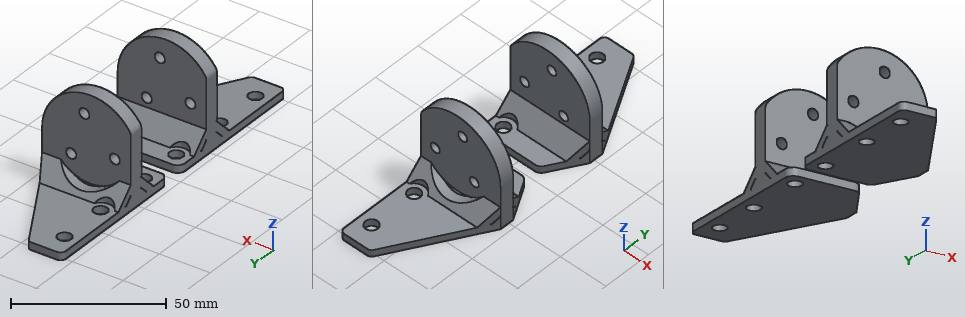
import cadquery as cq
import math

total_length = 124.0
width = 35.0
height = 38.0
bracket_length = 58.8
outer_end_y = -total_length / 2
inner_end_y = outer_end_y + bracket_length

plate_thickness = 3.0
outer_end_width = 13.3
inner_end_width = 26.4
outer_corner_radius = 2.0
inner_corner_radius = 3.0

wall_thickness = 6.0
wall_outer_y = outer_end_y + 38.1
wall_inner_y = wall_outer_y + wall_thickness
crown_radius = 19.0
crown_x = width - crown_radius
crown_z = height - crown_radius
shoulder_radius = 3.0

gusset_size = 6.8
slit_offset = 2.7
slit_width = 0.06

plate_hole_diameter = 5.2
plate_hole_x = 5.5
plate_hole_distances = (9.0, 29.0, 53.1)
clearance_radius = 4.6

seat_x = 16.0
seat_z = 20.3
seat_radius = 15.6
wall_hole_diameter = 4.0
bolt_circle_radius = 10.2
bolt_start_angle = 77.0
bolt_count = 3


def plan_prism():
    """Full-height prism with the tapered outline of the bracket."""
    prism = (
        cq.Workplane("XY")
        .polyline([
            (0, outer_end_y),
            (outer_end_width, outer_end_y),
            (width, wall_outer_y),
            (width, wall_inner_y),
            (inner_end_width, inner_end_y),
            (0, inner_end_y),
        ])
        .close()
        .extrude(height)
    )
    prism = prism.edges("|Z").edges("<Y").fillet(outer_corner_radius)
    return prism.edges("|Z").edges(">Y").fillet(inner_corner_radius)


def side_profile():
    """Plate, gussets and wall as one profile swept across the width."""
    gusset_top = plate_thickness + gusset_size
    return (
        cq.Workplane("YZ")
        .polyline([
            (outer_end_y, 0),
            (inner_end_y, 0),
            (inner_end_y, plate_thickness),
            (wall_inner_y + gusset_size, plate_thickness),
            (wall_inner_y, gusset_top),
            (wall_inner_y, height),
            (wall_outer_y, height),
            (wall_outer_y, gusset_top),
            (wall_outer_y - gusset_size, plate_thickness),
            (outer_end_y, plate_thickness),
        ])
        .close()
        .extrude(width)
    )


def crown_prism():
    """Front outline with the rounded crown, extruded along the bracket."""
    shoulder_z = crown_z + math.sqrt(crown_radius**2 - crown_x**2)
    prism = (
        cq.Workplane("XZ", origin=(0, inner_end_y, 0))
        .moveTo(0, 0)
        .lineTo(width, 0)
        .lineTo(width, crown_z)
        .threePointArc((crown_x, height), (0, shoulder_z))
        .close()
        .extrude(bracket_length)
    )
    shoulder = cq.selectors.NearestToPointSelector((0, (outer_end_y + inner_end_y) / 2, shoulder_z))
    return prism.edges(shoulder).fillet(shoulder_radius)


def wall_rods(points, radius, front_y, back_y):
    """Cylinders along Y at the given X and Z positions."""
    return (
        cq.Workplane("XZ", origin=(0, back_y, 0))
        .pushPoints(points)
        .circle(radius)
        .extrude(back_y - front_y)
    )


def plate_rods(radius, bottom_z):
    """Upright cylinders at the plate holes, from bottom_z to above the gussets."""
    points = [(plate_hole_x, outer_end_y + distance) for distance in plate_hole_distances]
    return (
        cq.Workplane("XY", origin=(0, 0, bottom_z))
        .pushPoints(points)
        .circle(radius)
        .extrude(plate_thickness + gusset_size)
    )


def gusset_slit(wall_face_y, direction):
    """Thin slit parallel to a gusset face, running the full width."""
    slit_top = plate_thickness + slit_offset
    return (
        cq.Workplane("YZ")
        .polyline([
            (wall_face_y, slit_top),
            (wall_face_y + direction * slit_offset, plate_thickness),
            (wall_face_y + direction * (slit_offset - slit_width), plate_thickness),
            (wall_face_y, slit_top - slit_width),
        ])
        .close()
        .extrude(width)
    )


def make_bracket():
    """Bracket on the -Y side."""
    bracket = side_profile().intersect(plan_prism()).intersect(crown_prism())

    bracket = bracket.cut(wall_rods([(seat_x, seat_z)], seat_radius, outer_end_y, wall_outer_y))
    bolt_angles = [math.radians(bolt_start_angle + i * 360 / bolt_count) for i in range(bolt_count)]
    bolt_points = [
        (seat_x + bolt_circle_radius * math.cos(a), seat_z + bolt_circle_radius * math.sin(a))
        for a in bolt_angles
    ]
    bracket = bracket.cut(wall_rods(bolt_points, wall_hole_diameter / 2, wall_outer_y, wall_inner_y))

    bracket = bracket.cut(plate_rods(clearance_radius, plate_thickness))
    bracket = bracket.cut(plate_rods(plate_hole_diameter / 2, 0))

    bracket = bracket.cut(gusset_slit(wall_outer_y, -1))
    return bracket.cut(gusset_slit(wall_inner_y, 1))


front_bracket = make_bracket()
rear_bracket = front_bracket.mirror("XZ")

result = cq.Compound.makeCompound([front_bracket.val(), rear_bracket.val()])